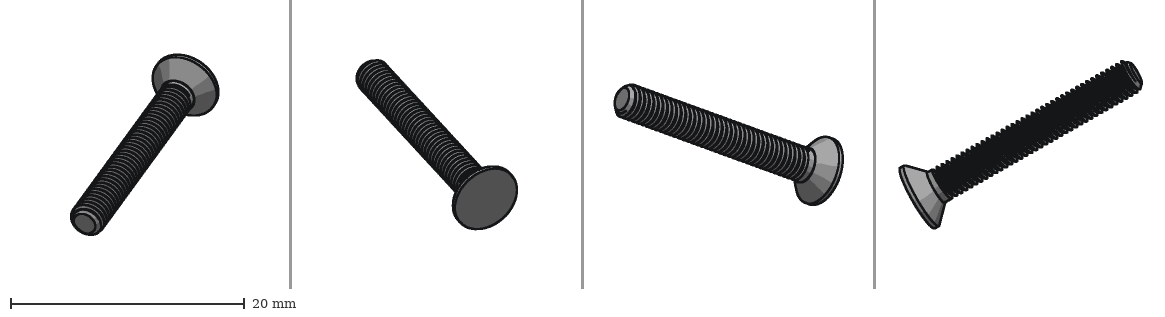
import cadquery as cq

length = 21.85
head_diameter = 6.0
rim_height = 0.42
head_height = 1.85
shank_diameter = 3.0
tip_diameter = 2.01

thread_start_depth = 2.35
thread_start_angle = 60
groove_helix_length = 20.0
sections = 10
turns_per_section = 4
section_length = groove_helix_length / sections
pitch = section_length / turns_per_section
groove_depth = 0.28
crest_width = pitch / 8
root_width = pitch / 4
cutter_overlap = 0.05

neck_end = length - thread_start_depth
head_radius = head_diameter / 2
shank_radius = shank_diameter / 2
tip_radius = tip_diameter / 2
tip_chamfer = shank_radius - tip_radius
cone_end_radius = head_radius - (head_height - rim_height)


def revolve_profile(points):
    """Solid of revolution about Y from (radius, y) points."""
    return cq.Workplane("XY").polyline(points).close().revolve(360, (0, 0, 0), (0, 1, 0))


def make_head():
    """Countersunk head with the plain neck below it."""
    return revolve_profile(
        [
            (0, neck_end),
            (shank_radius, neck_end),
            (shank_radius, length - head_height),
            (cone_end_radius, length - head_height),
            (head_radius, length - rim_height),
            (head_radius, length),
            (0, length),
        ]
    )


def make_shank():
    """Unthreaded shank with its chamfered tip."""
    return revolve_profile(
        [
            (0, 0),
            (tip_radius, 0),
            (shank_radius, tip_chamfer),
            (shank_radius, neck_end),
            (0, neck_end),
        ]
    )


def make_groove_section():
    """Trapezoidal cutter for the groove section next to the neck."""
    root_radius = shank_radius - groove_depth
    outer_radius = shank_radius + cutter_overlap
    half_root = root_width / 2
    half_mouth = (pitch - crest_width) / 2
    flank_slope = (half_mouth - half_root) / groove_depth
    half_outer = half_mouth + flank_slope * cutter_overlap
    helix = cq.Wire.makeHelix(pitch, section_length, shank_radius)
    cutter = (
        cq.Workplane("XZ")
        .moveTo(root_radius, -half_root)
        .lineTo(outer_radius, -half_outer)
        .lineTo(outer_radius, half_outer)
        .lineTo(root_radius, half_root)
        .close()
        .sweep(cq.Workplane(helix), isFrenet=True)
    )
    return (
        cutter.rotate((0, 0, 0), (0, 0, 1), -90)
        .rotate((0, 0, 0), (1, 0, 0), -90)
        .rotate((0, 0, 0), (0, 1, 0), thread_start_angle)
        .translate((0, neck_end - section_length, 0))
    )


def cut_thread(shank):
    """Cut the sections end to end, from the neck out past the tip."""
    section = make_groove_section()
    threaded = shank
    for index in range(sections):
        threaded = threaded.cut(section.translate((0, -index * section_length, 0)))
    return threaded


result = make_head().union(cut_thread(make_shank()))